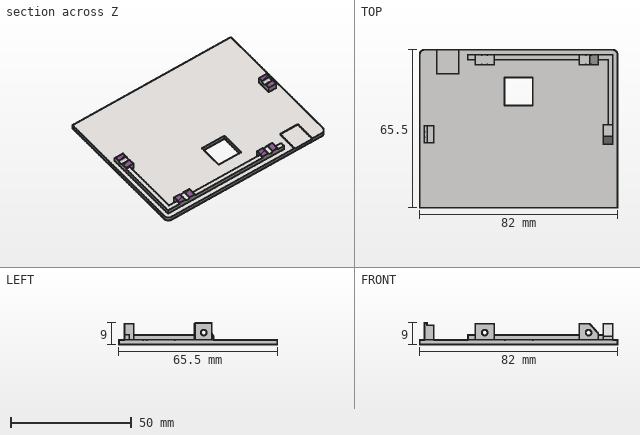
import cadquery as cq

plate_length = 82.0
plate_width = 65.5
plate_thickness = 2.0
corner_radius = 2.1

recess_left = 7.05
recess_length = 9.2
recess_width = 10.0
recess_depth = 0.3

window_length = 11.65
window_width = 11.5
window_back_inset = 11.6

side_inset = 2.0
back_inset = 2.2
rail_width = 2.0
rail_top = 4.0
rail_left = 20.0

lug_thickness = 4.0
lug_top = 8.8
hole_diameter = 2.3
hole_height = 5.0
hole_offset = 3.9

back_lug_length = 7.95
square_lug_left = 23.05
sloped_lug_left = 66.0
sloped_lug_flat = 4.35
sloped_lug_end_height = 4.75

right_lug_length = 8.0
right_lug_flat = 4.7
right_lug_end_height = 3.45

left_lug_back_inset = 31.5
left_lug_length = 7.0
left_lug_top = 8.1
lip_thickness = 1.15
lip_top = 9.0

right_lug_back_inset = 31.2

rail_back = plate_width - back_inset
rail_right = plate_length - side_inset
right_lug_back = plate_width - right_lug_back_inset
left_lug_back = plate_width - left_lug_back_inset
side_hole_y = right_lug_back - hole_offset


def block(x_min, x_max, y_min, y_max, z_min, z_max):
    """Box given by its limits along each axis."""
    size = (x_max - x_min, y_max - y_min, z_max - z_min)
    return cq.Workplane("XY").box(*size, centered=False).translate((x_min, y_min, z_min))


def make_plate():
    plate = block(0, plate_length, 0, plate_width, 0, plate_thickness)
    plate = plate.edges("|Z and >Y").fillet(corner_radius)
    recess = block(
        recess_left, recess_left + recess_length,
        plate_width - recess_width, plate_width,
        plate_thickness - recess_depth, plate_thickness,
    )
    window_left = (plate_length - window_length) / 2
    window_back = plate_width - window_back_inset
    window = block(
        window_left, window_left + window_length,
        window_back - window_width, window_back,
        0, plate_thickness,
    )
    return plate.cut(recess).cut(window)


def make_rail():
    back = block(rail_left, rail_right, rail_back - rail_width, rail_back, plate_thickness, rail_top)
    right = block(rail_right - rail_width, rail_right, right_lug_back, rail_back, plate_thickness, rail_top)
    return back.union(right)


def sloped_profile(length, flat, end_height):
    """Lug outline, running from its tall end: flat top, then a slope to a short end."""
    return [
        (0, plate_thickness),
        (0, lug_top),
        (flat, lug_top),
        (length, end_height),
        (length, plate_thickness),
    ]


def make_square_lug():
    return block(
        square_lug_left, square_lug_left + back_lug_length,
        rail_back - lug_thickness, rail_back,
        plate_thickness, lug_top,
    )


def make_sloped_lug():
    profile = sloped_profile(back_lug_length, sloped_lug_flat, sloped_lug_end_height)
    return (
        cq.Workplane("XZ", origin=(sloped_lug_left, rail_back, 0))
        .polyline(profile).close()
        .extrude(lug_thickness)
    )


def make_right_lug():
    profile = sloped_profile(right_lug_length, right_lug_flat, right_lug_end_height)
    x_min = rail_right - lug_thickness
    return (
        cq.Workplane("YZ", origin=(x_min, right_lug_back, 0))
        .polyline([(-along, height) for along, height in profile]).close()
        .extrude(lug_thickness)
    )


def make_left_lug():
    front = left_lug_back - left_lug_length
    body = block(
        side_inset, side_inset + lug_thickness, front, left_lug_back,
        plate_thickness, left_lug_top,
    )
    lip = block(
        side_inset, side_inset + lip_thickness, front, left_lug_back,
        plate_thickness, lip_top,
    )
    return body.union(lip)


def make_back_hole(x_centre):
    """Hole cutter along Y through a back lug and the rail merged with it."""
    hole = cq.Workplane("XZ", origin=(x_centre, rail_back, hole_height))
    return hole.circle(hole_diameter / 2).extrude(lug_thickness)


def make_side_hole(x_min):
    """Hole cutter along X through a side lug."""
    hole = cq.Workplane("YZ", origin=(x_min, side_hole_y, hole_height))
    return hole.circle(hole_diameter / 2).extrude(lug_thickness)


result = make_plate().union(make_rail())
for lug in (make_square_lug(), make_sloped_lug(), make_right_lug(), make_left_lug()):
    result = result.union(lug)

for lug_left in (square_lug_left, sloped_lug_left):
    result = result.cut(make_back_hole(lug_left + hole_offset))
for lug_left in (side_inset, rail_right - lug_thickness):
    result = result.cut(make_side_hole(lug_left))